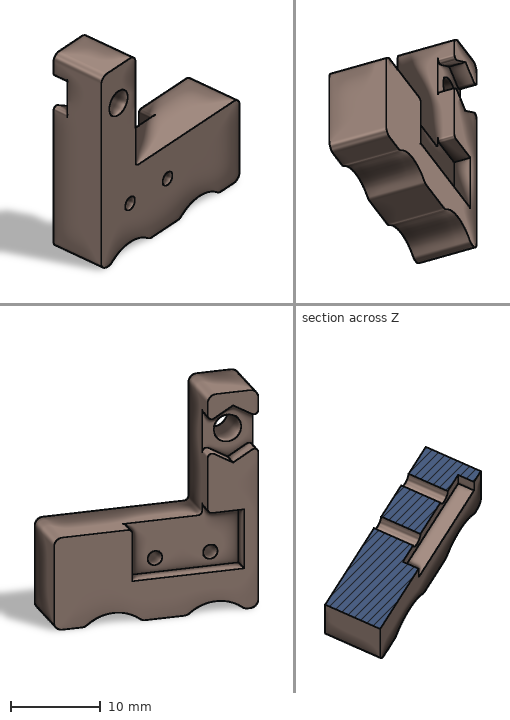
import cadquery as cq
import math

thickness = 7.0
length = 24.0
height = 26.0
column_width = 5.95
foot_height = 11.0
outer_radius = 1.0
small_radius = 0.5

recess_depth = 2.0

bolt_diameter = 3.2
bolt_y = column_width / 2
bolt_z = 21.0
hex_corner_radius = 3.4
hex_edge_slope = math.tan(math.radians(30))

pocket_y_min = 1.7
pocket_y_max = 14.8
pocket_z_min = 4.84
pocket_z_max = 11.88
pin_diameter = 1.7
pin_z = 6.5
pin_y_positions = (5.0, 11.5)

scallop_radius = 5.0
scallop_height = 1.3
scallop_y_positions = (5.0, 17.0)
scallop_drop = scallop_radius - scallop_height
scallop_half_width = math.sqrt(scallop_radius**2 - scallop_drop**2)


def x_cylinder(y, z, diameter):
    """Cylinder along X through the full thickness."""
    return cq.Workplane("YZ").center(y, z).circle(diameter / 2).extrude(thickness)


def round_x_edges(body, yz_points, radius, x_middle):
    """Round the edges along X whose midpoints lie at the given (y, z) points."""
    edges = body.newObject([])
    for y, z in yz_points:
        edges = edges.add(body.edges("|X").edges(cq.NearestToPointSelector((x_middle, y, z))))
    return edges.fillet(radius)


def make_body():
    """L-shaped plate with scallops and rounded profile corners."""
    outline = [
        (0, 0),
        (length, 0),
        (length, foot_height),
        (column_width, foot_height),
        (column_width, height),
        (0, height),
    ]
    body = cq.Workplane("YZ").polyline(outline).close().extrude(thickness)
    outer_corners = [(0, 0), (length, 0), (length, foot_height), (column_width, height), (0, height)]
    for y in scallop_y_positions:
        body = body.cut(x_cylinder(y, -scallop_drop, 2 * scallop_radius))
        outer_corners += [(y - scallop_half_width, 0), (y + scallop_half_width, 0)]
    body = round_x_edges(body, outer_corners, outer_radius, thickness / 2)
    return round_x_edges(body, [(column_width, foot_height)], small_radius, thickness / 2)


def cut_nut_slot(body):
    """Slot with V-shaped walls, open on both sides of the column."""
    side_rise = hex_corner_radius - bolt_y * hex_edge_slope
    slot_outline = [
        (0, bolt_z - side_rise),
        (bolt_y, bolt_z - hex_corner_radius),
        (column_width, bolt_z - side_rise),
        (column_width, bolt_z + side_rise),
        (bolt_y, bolt_z + hex_corner_radius),
        (0, bolt_z + side_rise),
    ]
    body = body.cut(cq.Workplane("YZ").polyline(slot_outline).close().extrude(recess_depth))
    lips = [(y, bolt_z + rise) for y in (0, column_width) for rise in (-side_rise, side_rise)]
    return round_x_edges(body, lips, small_radius, recess_depth / 2)


def cut_pocket(body):
    """Pocket open at the top of the foot and reaching into the column."""
    pocket = cq.Workplane("XY").box(
        recess_depth, pocket_y_max - pocket_y_min, pocket_z_max - pocket_z_min, centered=False
    )
    body = body.cut(pocket.translate((0, pocket_y_min, pocket_z_min)))
    lips = [(pocket_y_max, foot_height), (column_width, pocket_z_max)]
    return round_x_edges(body, lips, small_radius, recess_depth / 2)


result = cut_pocket(cut_nut_slot(make_body()))
result = result.cut(x_cylinder(bolt_y, bolt_z, bolt_diameter))
for pin_y in pin_y_positions:
    result = result.cut(x_cylinder(pin_y, pin_z, pin_diameter))